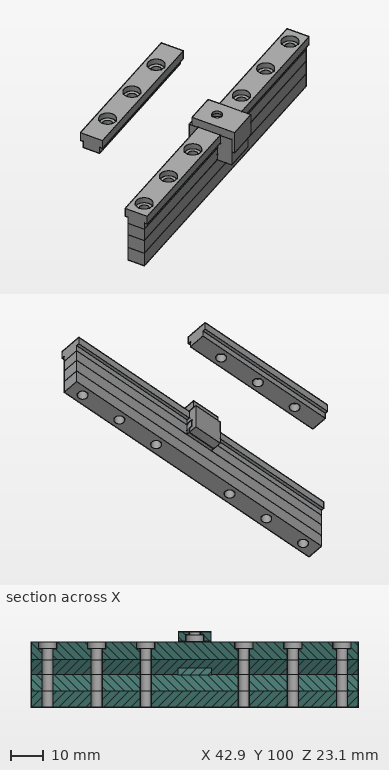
import cadquery as cq


long_length = 100.0
short_length = long_length / 2
short_rail_x = -30.0
head_width = 7.8
head_height = 3.1
neck_width = 5.8
rail_height = 5.5
hole_pitch = 15.0
short_hole_rows = [-1, 0, 1]
long_hole_rows = [-3, -2, -1, 1, 2, 3]
screw_diameter = 3.3
screw_head_diameter = 5.5
screw_head_depth = 2.0

bar_joints = [-rail_height, -10.0, -15.0, -20.0]

clearance = 0.15
slider_length = 10.0
slider_left = -7.0
slider_right = 8.0
slider_bottom = bar_joints[1]
floor_top = -8.0
hook_bottom = -5.0
barb_left = -5.0
stem_left = -head_width / 2

slot_head_half = head_width / 2 + clearance
slot_neck_half = neck_width / 2 + clearance
slot_head_bottom = -head_height - clearance

cap_shift = 1.0
cap_left = slider_left + cap_shift
cap_right = slider_right + cap_shift
cap_thickness = 3.0
cap_top = clearance + cap_thickness
cap_height = 8.0
cap_bottom = cap_top - cap_height
cap_hole_depth = 1.0


def extrude_along_y(points, length):
    """Prism with an X-Z outline, centred on Y = 0."""
    return cq.Workplane("XZ").polyline(points).close().extrude(length / 2, both=True)


def bore(diameter, x, y, bottom, top):
    """Upright cylinder used to cut a hole."""
    return cq.Workplane("XY", origin=(x, y, bottom)).circle(diameter / 2).extrude(top - bottom)


def make_rail(center_x, length, hole_rows):
    """T-section rail with a row of counterbored screw holes."""
    outline = [
        (center_x - head_width / 2, 0),
        (center_x + head_width / 2, 0),
        (center_x + head_width / 2, -head_height),
        (center_x + neck_width / 2, -head_height),
        (center_x + neck_width / 2, -rail_height),
        (center_x - neck_width / 2, -rail_height),
        (center_x - neck_width / 2, -head_height),
        (center_x - head_width / 2, -head_height),
    ]
    rail = extrude_along_y(outline, length)
    for row in hole_rows:
        y = row * hole_pitch
        rail = rail.cut(bore(screw_diameter, center_x, y, -rail_height, 0))
        rail = rail.cut(bore(screw_head_diameter, center_x, y, -screw_head_depth, 0))
    return rail


def make_riser_bar(top, bottom):
    """Bar as wide as the rail neck, drilled to match the long rail."""
    bar = (
        cq.Workplane("XY", origin=(0, 0, bottom))
        .rect(neck_width, long_length)
        .extrude(top - bottom)
    )
    for row in long_hole_rows:
        bar = bar.cut(bore(screw_diameter, 0, row * hole_pitch, bottom, top))
    return bar


def make_clip():
    """Left side of the slider: a hook below the rail head and a ledge below the cradle's barb."""
    pocket_left = barb_left - clearance
    ledge_top = floor_top - clearance
    ledge_right = stem_left - clearance
    outline = [
        (slider_left, 0),
        (-slot_head_half, 0),
        (-slot_head_half, slot_head_bottom),
        (-slot_neck_half, slot_head_bottom),
        (-slot_neck_half, hook_bottom),
        (pocket_left, hook_bottom),
        (pocket_left, ledge_top),
        (ledge_right, ledge_top),
        (ledge_right, slider_bottom),
        (slider_left, slider_bottom),
    ]
    return extrude_along_y(outline, slider_length)


def make_cradle():
    """Right side and floor of the slider, with a barbed arm that snaps into the clip."""
    barb_top = hook_bottom - clearance
    outline = [
        (slider_right, 0),
        (slot_head_half, 0),
        (slot_head_half, slot_head_bottom),
        (slot_neck_half, slot_head_bottom),
        (slot_neck_half, floor_top),
        (-slot_neck_half, floor_top),
        (-slot_neck_half, barb_top),
        (barb_left, barb_top),
        (barb_left, floor_top),
        (stem_left, floor_top),
        (stem_left, slider_bottom),
        (slider_right, slider_bottom),
    ]
    return extrude_along_y(outline, slider_length)


def make_cap():
    """Plate over the rail with a lip down its right side and a screw hole bored out from below."""
    outline = [
        (cap_left, cap_top),
        (cap_right, cap_top),
        (cap_right, cap_bottom),
        (slider_right, cap_bottom),
        (slider_right, 0),
        (slot_head_half, 0),
        (slot_head_half, clearance),
        (-slot_head_half, clearance),
        (-slot_head_half, 0),
        (cap_left, 0),
    ]
    cap = extrude_along_y(outline, slider_length)
    cap = cap.cut(bore(screw_diameter, 0, 0, 0, cap_top))
    return cap.cut(bore(screw_head_diameter, 0, 0, 0, cap_top - cap_hole_depth))


short_rail = make_rail(short_rail_x, short_length, short_hole_rows)
long_rail = make_rail(0, long_length, long_hole_rows)

clip = make_clip()
cradle = make_cradle()
cap = make_cap()

riser_bars = []
for top, bottom in zip(bar_joints, bar_joints[1:]):
    riser_bars.append(make_riser_bar(top, bottom).cut(cradle))

result = cq.Compound.makeCompound(
    [
        short_rail.val(),
        long_rail.val(),
        *[bar.val() for bar in riser_bars],
        clip.val(),
        cradle.val(),
        cap.val(),
    ]
)